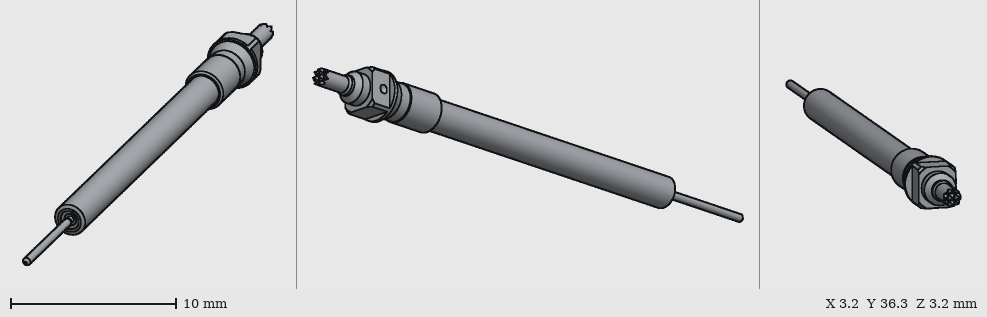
import cadquery as cq

LENGTH = 36.3

PLUNGER_R = 0.53
PLUNGER_END = 2.12
TOOTH_PITCH = 0.42
TOOTH_DEPTH = 0.38
GROOVES_EACH_WAY = 4

NECK_R = 0.64
NECK_START = 2.3
NECK_END = 2.5
NOSE_R = 1.0
NOSE_START = 2.86

BLOCK_START = 3.5
BLOCK_END = 4.98
BLOCK_WIDTH_X = 2.32
BLOCK_HEIGHT_Z = 2.56
BLOCK_CORNER_R = 1.6
BLOCK_BEVEL_R = 1.44
BLOCK_BEVEL_LENGTH = 0.2

DIMPLE_R = 0.28
DIMPLE_STATION = 4.47
DIMPLE_DEPTH = 0.16

FLANGE_R = 1.6
FLANGE_END = 5.22
FLARE_R = 1.48
FLARE_END = 5.96

WAIST_R = 1.2
WAIST_END = 6.72
COLLAR_R = 1.25
COLLAR_END = 9.47
COLLAR_FRONT_CHAMFER = 0.05
COLLAR_REAR_R = 1.1
COLLAR_REAR_CHAMFER_LENGTH = 0.12

BARREL_R = 1.0
BARREL_END = 29.68
BARREL_CHAMFER_R = 0.76
BARREL_CHAMFER_LENGTH = 0.1

RECESS_R = 0.6
RECESS_DEPTH = 0.1
PIN_BORE_R = 0.38
PIN_BORE_DEPTH = 0.2

TAIL_NECK_R = 0.2
TAIL_NECK_END = 29.9
TAIL_R = 0.25
TAIL_END = 36.2
TAIL_CHAMFER = 0.08
TAIL_TIP_R = 0.08


def turned(profile):
    """Solid of revolution about Y from (radius, station) points."""
    first_station = profile[0][1]
    last_station = profile[-1][1]
    points = [(0, first_station)] + profile + [(0, last_station)]
    outline = [(radius, -station) for radius, station in points]
    return cq.Workplane("XY").polyline(outline).close().revolve(360, (0, 0, 0), (0, 1, 0))


def make_front():
    """Plunger and nose, ending at the wrench block."""
    return turned([
        (PLUNGER_R, 0),
        (PLUNGER_R, PLUNGER_END),
        (NECK_R, NECK_START),
        (NECK_R, NECK_END),
        (NOSE_R, NOSE_START),
        (NOSE_R, BLOCK_START),
    ])


def make_block():
    """Four-sided wrench block with rounded corners and a bevelled front rim."""
    block = cq.Workplane("XY").box(BLOCK_WIDTH_X, BLOCK_END - BLOCK_START, BLOCK_HEIGHT_Z)
    block = block.translate((0, -(BLOCK_START + BLOCK_END) / 2, 0))
    envelope = turned([
        (BLOCK_BEVEL_R, BLOCK_START),
        (BLOCK_CORNER_R, BLOCK_START + BLOCK_BEVEL_LENGTH),
        (BLOCK_CORNER_R, BLOCK_END),
    ])
    return block.intersect(envelope)


def make_rear():
    """Flange, flare, waist, collar, barrel and tail pin."""
    return turned([
        (FLANGE_R, BLOCK_END),
        (FLANGE_R, FLANGE_END),
        (FLARE_R, FLANGE_END),
        (WAIST_R, FLARE_END),
        (WAIST_R, WAIST_END),
        (COLLAR_R, WAIST_END + COLLAR_FRONT_CHAMFER),
        (COLLAR_R, COLLAR_END - COLLAR_REAR_CHAMFER_LENGTH),
        (COLLAR_REAR_R, COLLAR_END),
        (BARREL_R, COLLAR_END),
        (BARREL_R, BARREL_END - BARREL_CHAMFER_LENGTH),
        (BARREL_CHAMFER_R, BARREL_END),
        (RECESS_R, BARREL_END),
        (RECESS_R, BARREL_END - RECESS_DEPTH),
        (PIN_BORE_R, BARREL_END - RECESS_DEPTH),
        (PIN_BORE_R, BARREL_END - PIN_BORE_DEPTH),
        (TAIL_NECK_R, BARREL_END - PIN_BORE_DEPTH),
        (TAIL_NECK_R, TAIL_NECK_END),
        (TAIL_R, TAIL_NECK_END),
        (TAIL_R, TAIL_END - TAIL_CHAMFER),
        (TAIL_R - TAIL_CHAMFER, TAIL_END),
        (TAIL_TIP_R, LENGTH),
    ])


def cut_crown(body):
    """Crossed V grooves in the tip leave a grid of pointed teeth."""
    for index in range(GROOVES_EACH_WAY):
        offset = (index - (GROOVES_EACH_WAY - 1) / 2) * TOOTH_PITCH
        outline = [
            (offset - TOOTH_PITCH / 2, 0),
            (offset + TOOTH_PITCH / 2, 0),
            (offset, -TOOTH_DEPTH),
        ]
        groove = cq.Workplane("XY").polyline(outline).close().extrude(PLUNGER_R * 2, both=True)
        body = body.cut(groove)
        body = body.cut(groove.rotate((0, 0, 0), (0, 1, 0), 90))
    return body


def cut_dimple(body):
    """Conical recess in the -X face of the wrench block."""
    face_x = -BLOCK_WIDTH_X / 2
    drill_point = cq.Solid.makeCone(
        DIMPLE_R, 0, DIMPLE_DEPTH, cq.Vector(face_x, -DIMPLE_STATION, 0), cq.Vector(1, 0, 0)
    )
    return body.cut(cq.Workplane(obj=drill_point))


result = make_front().union(make_block()).union(make_rear())
result = cut_crown(result)
result = cut_dimple(result)